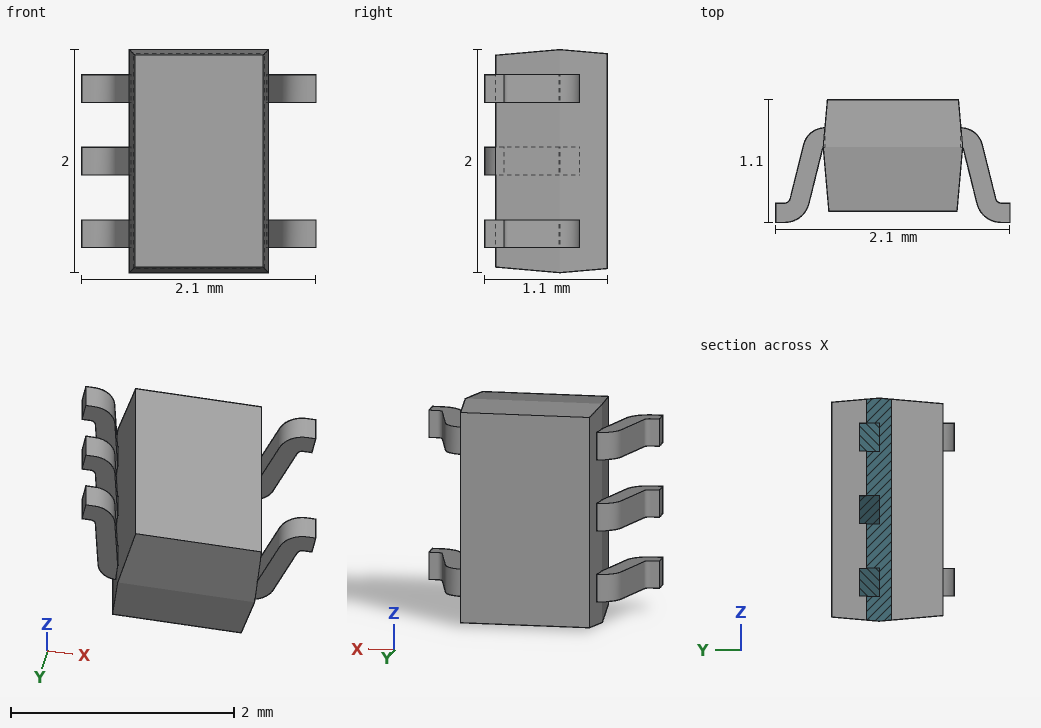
import cadquery as cq
import math


package_width = 1.25
package_length = 2.0
standoff = 0.1
parting_y = 0.675
package_back_y = 1.1
draft_angle = 5.0

lead_span = 2.1
lead_width = 0.25
lead_thickness = 0.175
lead_pitch = 0.65
foot_flat = 0.08
foot_inner_radius = 0.05
shoulder_inner_radius = 0.025
leg_tilt = 14.0

foot_outer_radius = foot_inner_radius + lead_thickness
shoulder_outer_radius = shoulder_inner_radius + lead_thickness

LEFT = -1
RIGHT = 1
lead_rows = {LEFT: (-1, 0, 1), RIGHT: (-1, 1)}


def point_on_circle(center, radius, angle):
    """Point of a circle at an angle in degrees, counted from +X toward +Y."""
    radians = math.radians(angle)
    return (center[0] + radius * math.cos(radians), center[1] + radius * math.sin(radians))


def make_package():
    """Two drafted halves joined at the parting plane."""
    parting_origin = (0, parting_y, 0)
    front_half = (
        cq.Workplane("XZ", origin=parting_origin)
        .rect(package_width, package_length)
        .extrude(parting_y - standoff, taper=draft_angle)
    )
    back_half = (
        cq.Workplane("ZX", origin=parting_origin)
        .rect(package_length, package_width)
        .extrude(package_back_y - parting_y, taper=draft_angle)
    )
    return front_half.union(back_half)


def make_right_lead():
    """Gull-wing lead on the +X side, centred on Z = 0."""
    foot_tip_x = lead_span / 2

    foot_center = (foot_tip_x - foot_flat, foot_outer_radius)
    shoulder_y = parting_y - shoulder_inner_radius
    tilt = math.radians(leg_tilt)
    center_offset = foot_outer_radius + shoulder_inner_radius
    center_rise = shoulder_y - foot_center[1]
    leg_length = (center_rise + center_offset * math.sin(tilt)) / math.cos(tilt)
    shoulder_x = foot_center[0] - leg_length * math.sin(tilt) - center_offset * math.cos(tilt)
    shoulder_center = (shoulder_x, shoulder_y)

    shoulder_start = 90
    shoulder_end = leg_tilt
    shoulder_middle = (shoulder_start + shoulder_end) / 2
    foot_start = 180 + shoulder_end
    foot_middle = 180 + shoulder_middle
    foot_end = 180 + shoulder_start

    profile = (
        cq.Workplane("XY", origin=(0, 0, -lead_width / 2))
        .moveTo(*point_on_circle(shoulder_center, shoulder_outer_radius, shoulder_start))
        .threePointArc(
            point_on_circle(shoulder_center, shoulder_outer_radius, shoulder_middle),
            point_on_circle(shoulder_center, shoulder_outer_radius, shoulder_end),
        )
        .lineTo(*point_on_circle(foot_center, foot_inner_radius, foot_start))
        .threePointArc(
            point_on_circle(foot_center, foot_inner_radius, foot_middle),
            point_on_circle(foot_center, foot_inner_radius, foot_end),
        )
        .lineTo(foot_tip_x, lead_thickness)
        .lineTo(foot_tip_x, 0)
        .lineTo(foot_center[0], 0)
        .threePointArc(
            point_on_circle(foot_center, foot_outer_radius, foot_middle),
            point_on_circle(foot_center, foot_outer_radius, foot_start),
        )
        .lineTo(*point_on_circle(shoulder_center, shoulder_inner_radius, shoulder_end))
        .threePointArc(
            point_on_circle(shoulder_center, shoulder_inner_radius, shoulder_middle),
            point_on_circle(shoulder_center, shoulder_inner_radius, shoulder_start),
        )
        .close()
    )
    return profile.extrude(lead_width)


def make_lead(side, place):
    """Lead on one side of the package, at a number of pitches from the middle."""
    lead = make_right_lead()
    if side == LEFT:
        lead = lead.mirror("YZ")
    return lead.translate((0, 0, place * lead_pitch))


leads = []
for row_side, row_places in lead_rows.items():
    for row_place in row_places:
        leads.append(make_lead(row_side, row_place))

package = make_package()
for lead in leads:
    package = package.cut(lead)

result = cq.Compound.makeCompound([package.solids().val(), *[lead.val() for lead in leads]])